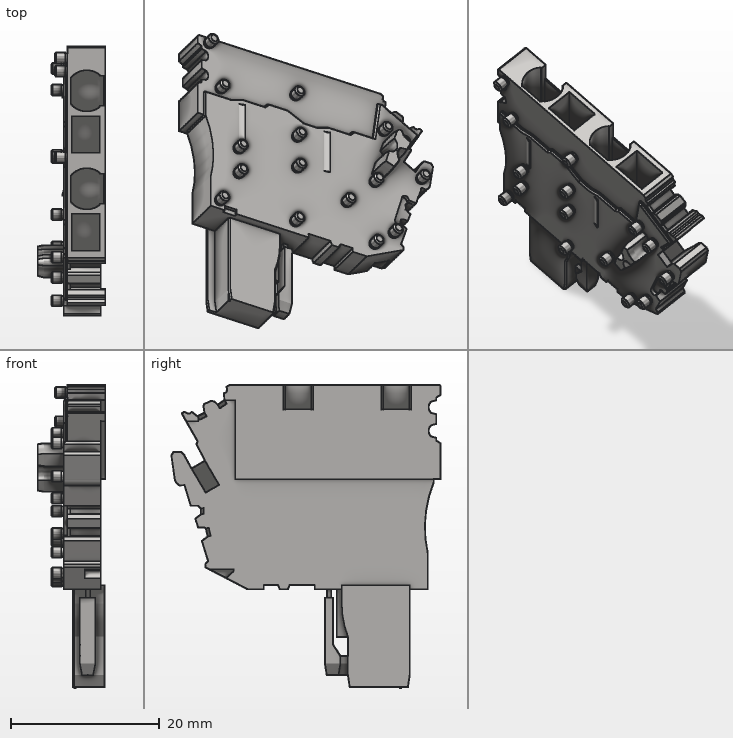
import cadquery as cq
import math


LENGTH = 36.18
HEIGHT = 40.75
TOP = 27.48
FRONT_SKIN = 0.5
CORE_BACK = 5.0
BACK = 5.6
STEP_BEVEL = 0.25

TAB_BOTTOM = 14.8
TOP_CORNER = 0.18
SKIN_END = 35.25
TAB_NOTCH_MID = 22.88
FLANGE_TOP_END = 7.0
FLANGE_LOW_END = 8.6
FLANGE_STEP = 25.4
REAR_TOOTH = (1.3, 3.6, 22.6)

BAY_PITCH = 13.15
BAYS = (30.2, 30.2 - BAY_PITCH)
WIRE_RADIUS = 2.77
WIRE_X = 3.1
WIRE_FLAT_LOW = 0.95
WIRE_FLAT_HIGH = 4.85
WIRE_DEPTH = 12.0
WALL_SLOT_LENGTH = 4.0
WALL_SLOT_BACK = 5.4
WALL_OPENING_DEPTH = 3.3
POCKET_OFFSET = 5.85
POCKET_LENGTH = 4.95
POCKET_X = (1.05, 4.85)
POCKET_DEPTH = 10.0

PIN_LENGTH = 1.7
PIN_RADIUS = 0.76
PIN_NECK_RADIUS = 0.67
PIN_NECK_LENGTH = 0.32
PIN_TIP_RADIUS = 0.5
PIN_TIP_LENGTH = 0.2
PIN_ROOT = 0.3
UPPER_PINS = [(34.61, 26.45), (32.84, 19.68), (21.25, 22.52)]
LOWER_PINS = [
    (21.25, 15.51), (21.25, 10.51), (30.32, 10.51), (30.32, 6.52), (33.19, 1.13),
    (21.54, 1.69), (9.24, 2.21), (6.27, 5.0), (13.58, 7.52), (9.24, 12.25),
    (2.01, 15.2), (5.12, 19.68), (7.87, 20.98),
]

KEY_LENGTH = 3.5
KEY_TIP = 0.85
KEY_TAPER = 10

RAMP_HEIGHT = 0.22
RAMP_WIDTH = 0.8
RAMP_Z = (11.62, 18.0)
RAMPS = (29.28, 16.1)

SLOT_TOP = (4.3, 11.35)
SLOT_BOTTOM = (5.42, 7.33)
SLOT_WIDTH = 1.0
NOTCH_TOP = 11.23
NOTCH_BOTTOM = 7.2

BASE_RECESS = (30.42, 32.28, 0.71)
BASE_RECESS_DEPTH = 0.5
WINDOW_FRONT = 2.8

GAP_LEDGE = 0.9
HOOK_FLOOR = [(4.51, 17.3), (2.72, 16.25)]
HOOK_DROP = (1.9, -3.25)
VALLEY_FLOORS = [[(7.13, 25.45), (6.23, 24.82)], [(4.44, 23.75), (3.5, 23.27)]]
VALLEY_DROP = (0.3, -0.5)
NOTCH_FLOORS = [[(3.95, 10.85), (3.95, 10.07)], [(4.63, 8.2), (4.88, 7.1)]]
NOTCH_DROP = (0.4, 0.1)

PLUG_FACE = 1.2
PLUG_PLATE = 1.45
PLUG_BACK = 5.5
PLUG_STRIP = 5.0
PLUG_TOP = 0.6
PLUG_BOTTOM = -13.1
PLUG_TAPER_TOP = -11.5
PLUG_HIGH_Y = 32.03
PLUG_MID_Y = 22.89
PLUG_LOW_Y = 23.7
PLUG_FACE_HIGH_Y = 30.95
PLUG_TAPER = 0.24
PLUG_CURVE_TOP = -1.9
PLUG_CURVE_BOTTOM = -6.3
PLUG_CURVE_SAG = 0.2
PLUG_BEVEL = 0.2
NIB_BOTTOM = TOP - HEIGHT
NIB_Y = (30.65, 30.85)

ARM_X = (2.17, 4.25)
STEM_X = (2.93, 3.55)
ARM_LOW_Y = 20.61
ARM_HIGH_Y = 21.74
STEM_Y = (20.88, 21.5)
ARM_TOP = -1.08
ARM_TAPER_TOP = -9.95
ARM_BOTTOM = -11.5
ARM_TOE_TAPER = 0.3
TOE_Y = 22.7
TOE_TOP = -8.92
TOE_SLOPE_TOP = -7.4
TOE_INSET = 0.25
SPINE_LOW_Y = 22.21
SPINE_BOTTOM = -6.4


def box(x, y, z):
    """Block between the (low, high) pairs given for each axis."""
    size = (x[1] - x[0], y[1] - y[0], z[1] - z[0])
    return cq.Workplane("XY").box(*size, centered=False).translate((x[0], y[0], z[0]))


def side_plane(x):
    """Plane across the thickness: local x is Y, local y is Z."""
    return cq.Workplane("YZ", origin=(x, 0, 0))


def prism(points, x):
    """Polygon in Y and Z, extruded between two X positions."""
    return side_plane(x[0]).polyline(points).close().extrude(x[1] - x[0])


def mirrored(point):
    """Point reflected in the middle height of the post between the two bites."""
    return (point[0], 2 * TAB_NOTCH_MID - point[1])


def housing_prism(x):
    """Full side outline of the housing, extruded between two X positions."""
    bite_outer, bite_mid, bite_inner = (34.9, 25.2), (34.58, 24.4), (34.9, 23.73)
    post_corner = (35.59, 23.55)
    lip = [(35.59, 25.39), (35.59, 25.76), (LENGTH, 26.13)]

    wire = side_plane(x[0]).moveTo(LENGTH - TOP_CORNER, TOP)
    sloping_end = [
        (7.82, TOP), (7.4, 27.2), (7.5, 26.8), (7.35, 26.45), (7.03, 26.37), *VALLEY_FLOORS[0],
        (5.85, 25.2), (5.42, 25.37), (4.4, 24.9), (4.31, 24.6), *VALLEY_FLOORS[1],
        (2.75, 23.87), (2.5, 23.65), (2.2, 23.65), (1.75, 23.87), (1.4, 23.63),
        (3.53, 19.88), (3.36, 19.51), *HOOK_FLOOR,
        (1.72, 18.1), (1.35, 18.46), (0.29, 18.46), (0.0, 18.0), (0.45, 14.8),
    ]
    for point in sloping_end:
        wire = wire.lineTo(*point)
    wire = wire.threePointArc((0.7, 14.3), (1.15, 13.95))
    foot = [
        (1.76, 14.0), (2.6, NOTCH_TOP), (3.6, NOTCH_TOP), *NOTCH_FLOORS[0],
        (3.21, 9.51), (3.6, 8.31), (4.45, 8.31), *NOTCH_FLOORS[1], (4.09, 6.52),
        (4.93, 3.82), (4.55, 3.4), (4.58, 2.97), (10.27, 0.0),
        (12.43, 0.0), (12.43, 0.59), (14.31, 0.59), (14.56, 0.0), (15.66, 0.0),
        (15.91, 0.59), (19.26, 0.59), (19.26, 0.0), (34.46, 0.0), (34.46, 4.85),
    ]
    for point in foot:
        wire = wire.lineTo(*point)
    wire = wire.threePointArc((34.1, 9.3), (SKIN_END, 14.36))
    wire = wire.lineTo(SKIN_END, TAB_BOTTOM).lineTo(LENGTH, TAB_BOTTOM)
    for point in reversed(lip):
        wire = wire.lineTo(*mirrored(point))
    wire = wire.lineTo(*mirrored(bite_outer)).threePointArc(mirrored(bite_mid), mirrored(bite_inner))
    wire = wire.lineTo(*mirrored(post_corner)).lineTo(*post_corner)
    wire = wire.lineTo(*bite_inner).threePointArc(bite_mid, bite_outer)
    for point in lip:
        wire = wire.lineTo(*point)
    return wire.lineTo(LENGTH, TOP - TOP_CORNER).close().extrude(x[1] - x[0])


def front_skin():
    """Raised front layer below a wavy bevelled step, with a wedge reaching up at the sloping end."""
    margin = 1.0
    step = [
        (LENGTH + margin, 18.45), (31.2, 18.45), (29.39, 19.05), (26.1, 19.05), (25.5, 19.68),
        (22.45, 19.68), (19.9, 18.45), (17.95, 18.45), (16.2, 19.05), (12.9, 19.05),
        (12.3, 19.68), (9.15, 19.68), (8.4, 25.55), (7.75, 25.55), (2.1, 22.4), (3.53, 19.88),
        (-margin, 19.88), (-margin, -margin), (LENGTH + margin, -margin),
    ]
    region = prism(step, (0, FRONT_SKIN)).faces("<X").chamfer(STEP_BEVEL)
    skin = housing_prism((0, FRONT_SKIN)).intersect(region)
    return skin.cut(box((0, FRONT_SKIN), (SKIN_END, LENGTH), (0, TOP)))


def rear_flange():
    """Thicker upper block and tooth tip on the back."""
    span = (CORE_BACK, BACK)
    block = box(span, (FLANGE_LOW_END, LENGTH), (TAB_BOTTOM, TOP))
    corner = box(span, (FLANGE_TOP_END, FLANGE_LOW_END), (FLANGE_STEP, TOP))
    tooth_low, tooth_high, tooth_bottom = REAR_TOOTH
    tooth = box(span, (tooth_low, tooth_high), (tooth_bottom, TOP))
    return housing_prism(span).intersect(block.union(corner).union(tooth))


def top_openings():
    """Wire entries open to the back wall, each followed by a rectangular pocket."""
    cutters = cq.Workplane("XY")
    for bay in BAYS:
        entry = cq.Workplane("XY", origin=(WIRE_X, bay, TOP)).circle(WIRE_RADIUS).extrude(-WIRE_DEPTH)
        flats = box(
            (WIRE_FLAT_LOW, WIRE_FLAT_HIGH),
            (bay - WIRE_RADIUS, bay + WIRE_RADIUS),
            (TOP - WIRE_DEPTH, TOP),
        )
        half_slot = WALL_SLOT_LENGTH / 2
        slot_y = (bay - half_slot, bay + half_slot)
        wall_slot = box((WIRE_X, WALL_SLOT_BACK), slot_y, (TOP - WIRE_DEPTH, TOP))
        wall_opening = box((WIRE_X, BACK), slot_y, (TOP - WALL_OPENING_DEPTH, TOP))
        pocket_mid = bay - POCKET_OFFSET
        half_pocket = POCKET_LENGTH / 2
        pocket_y = (pocket_mid - half_pocket, pocket_mid + half_pocket)
        pocket = box(POCKET_X, pocket_y, (TOP - POCKET_DEPTH, TOP))
        cutters = cutters.union(entry.intersect(flats)).union(wall_slot)
        cutters = cutters.union(wall_opening).union(pocket)
    return cutters


def pin(position, base_x):
    """Necked pin with a shallow conical tip, standing out towards -X."""
    y, z = position
    profile = [
        (PIN_ROOT, 0), (PIN_ROOT, PIN_NECK_RADIUS), (-PIN_NECK_LENGTH, PIN_NECK_RADIUS),
        (-PIN_NECK_LENGTH, PIN_RADIUS), (PIN_TIP_LENGTH - PIN_LENGTH, PIN_RADIUS),
        (-PIN_LENGTH, PIN_TIP_RADIUS), (-PIN_LENGTH, 0),
    ]
    shape = cq.Workplane("XY").polyline(profile).close().revolve(360, (0, 0, 0), (1, 0, 0))
    return shape.translate((base_x, y, z))


def key_outline(x):
    """Closed dog-bone wire on the plane at the given X."""
    return (
        side_plane(x)
        .moveTo(7.72, 19.3)
        .threePointArc((7.2, 19.65), (6.72, 19.58))
        .threePointArc((6.1, 18.6), (5.12, 18.25))
        .lineTo(5.98, 16.57)
        .lineTo(7.0, 16.5)
        .threePointArc((7.4, 15.7), (7.02, 14.65))
        .lineTo(8.01, 13.1)
        .lineTo(9.5, 13.65)
        .lineTo(8.95, 15.65)
        .lineTo(8.4, 15.75)
        .threePointArc((7.7, 16.7), (8.2, 17.75))
        .close()
    )


def key():
    shaft_end = KEY_TIP - KEY_LENGTH
    shaft = key_outline(0).extrude(shaft_end)
    tip = key_outline(shaft_end).extrude(-KEY_TIP, taper=KEY_TAPER)
    return shaft.union(tip)


def ramp(y):
    """Thin wedge on the front face, tallest at its -Y edge."""
    z_low, z_high = RAMP_Z
    section = [(0, y), (-RAMP_HEIGHT, y), (0, y + RAMP_WIDTH)]
    return cq.Workplane("XY", origin=(0, 0, z_low)).polyline(section).close().extrude(z_high - z_low)


def angled_slot():
    """Round-ended recess through the front skin."""
    corner_y = 3.0
    dy = SLOT_BOTTOM[0] - SLOT_TOP[0]
    dz = SLOT_BOTTOM[1] - SLOT_TOP[1]
    middle = ((SLOT_TOP[0] + SLOT_BOTTOM[0]) / 2, (SLOT_TOP[1] + SLOT_BOTTOM[1]) / 2)
    slot = side_plane(0).center(*middle)
    slot = slot.slot2D(math.hypot(dy, dz) + SLOT_WIDTH, SLOT_WIDTH, math.degrees(math.atan2(dz, dy)))
    tooth = [SLOT_TOP, (corner_y, NOTCH_TOP), (corner_y, NOTCH_BOTTOM), SLOT_BOTTOM]
    return slot.extrude(FRONT_SKIN).union(prism(tooth, (0, FRONT_SKIN)))


def base_cuts():
    """Recess in the front bottom edge and a window in the sloping foot."""
    y_low, y_high, height = BASE_RECESS
    recess = box((0, BASE_RECESS_DEPTH), (y_low, y_high), (0, height))
    window = [(4.0, 2.7), (4.0, 1.5), (7.35, 1.5), (8.4, 2.5), (8.4, 2.7)]
    return recess.union(prism(window, (WINDOW_FRONT, CORE_BACK)))


def deep_gap(floor, drop):
    """Sinks a gap floor further behind the front ledge."""
    sunk = [(y + drop[0], z + drop[1]) for y, z in reversed(floor)]
    return prism(floor + sunk, (GAP_LEDGE, CORE_BACK))


def plug_outline(x, high_y, top):
    """Side outline of the plug shroud."""
    curve_mid_z = (PLUG_CURVE_TOP + PLUG_CURVE_BOTTOM) / 2
    return (
        side_plane(x)
        .moveTo(high_y, top)
        .lineTo(high_y, PLUG_TAPER_TOP)
        .lineTo(high_y - PLUG_TAPER, PLUG_BOTTOM)
        .lineTo(PLUG_LOW_Y + PLUG_TAPER, PLUG_BOTTOM)
        .lineTo(PLUG_LOW_Y, PLUG_TAPER_TOP)
        .lineTo(PLUG_LOW_Y, PLUG_CURVE_BOTTOM)
        .threePointArc((PLUG_MID_Y + PLUG_CURVE_SAG, curve_mid_z), (PLUG_MID_Y, PLUG_CURVE_TOP))
        .lineTo(PLUG_MID_Y, top)
        .close()
    )


def plug():
    """Shroud with a bevelled raised face and a small nib at its lower end."""
    shroud = plug_outline(PLUG_PLATE, PLUG_FACE_HIGH_Y, PLUG_TOP).extrude(PLUG_BACK - PLUG_PLATE)
    face = plug_outline(PLUG_PLATE, PLUG_FACE_HIGH_Y, PLUG_TOP).extrude(PLUG_FACE - PLUG_PLATE)
    strip = plug_outline(PLUG_STRIP, PLUG_HIGH_Y, PLUG_TOP).extrude(PLUG_BACK - PLUG_STRIP)
    face = face.faces("<X").edges("not(<Z)").chamfer(PLUG_BEVEL)
    nib = box((PLUG_FACE + PLUG_BEVEL, PLUG_PLATE + PLUG_BEVEL), NIB_Y, (NIB_BOTTOM, PLUG_TAPER_TOP))
    spine = box(STEM_X, (SPINE_LOW_Y, PLUG_LOW_Y + 1), (SPINE_BOTTOM, PLUG_TOP))
    return shroud.union(strip).union(face).union(nib).union(spine)


def toe_section(x):
    """Section in X and Z with a narrowed lower end, extruded along the housing."""
    low, high = x
    section = [
        (low, PLUG_TOP), (low, ARM_TAPER_TOP), (low + ARM_TOE_TAPER, ARM_BOTTOM),
        (high - ARM_TOE_TAPER, ARM_BOTTOM), (high, ARM_TAPER_TOP), (high, PLUG_TOP),
    ]
    return cq.Workplane("XZ").polyline(section).close().extrude(-LENGTH)


def latch_arm():
    """Arm hanging from the base on a thin stem, joined to the plug by a narrow foot."""
    outline = [
        (ARM_LOW_Y, ARM_TOP), (ARM_LOW_Y, ARM_TAPER_TOP), (ARM_LOW_Y + TOE_INSET, ARM_BOTTOM),
        (TOE_Y - TOE_INSET, ARM_BOTTOM), (TOE_Y, ARM_TAPER_TOP), (TOE_Y, TOE_TOP),
        (ARM_HIGH_Y, TOE_SLOPE_TOP), (ARM_HIGH_Y, ARM_TOP),
    ]
    arm = prism(outline, ARM_X).intersect(toe_section(ARM_X))
    foot = box(STEM_X, (TOE_Y - 2 * TOE_INSET, PLUG_LOW_Y + 1), (ARM_BOTTOM, TOE_TOP))
    foot = foot.intersect(toe_section(STEM_X))
    stem = box(STEM_X, STEM_Y, (ARM_TOP, PLUG_TOP))
    return arm.union(foot).union(stem)


def build():
    housing = housing_prism((FRONT_SKIN, CORE_BACK)).union(front_skin()).union(rear_flange())
    housing = housing.cut(top_openings()).cut(angled_slot()).cut(base_cuts())
    housing = housing.cut(deep_gap(HOOK_FLOOR, HOOK_DROP))
    for floor in VALLEY_FLOORS:
        housing = housing.cut(deep_gap(floor, VALLEY_DROP))
    for floor in NOTCH_FLOORS:
        housing = housing.cut(deep_gap(floor, NOTCH_DROP))
    part = housing.union(plug()).union(latch_arm()).union(key())
    for y in RAMPS:
        part = part.union(ramp(y))
    for position in UPPER_PINS:
        part = part.union(pin(position, FRONT_SKIN))
    for position in LOWER_PINS:
        part = part.union(pin(position, 0))
    return part


result = build()